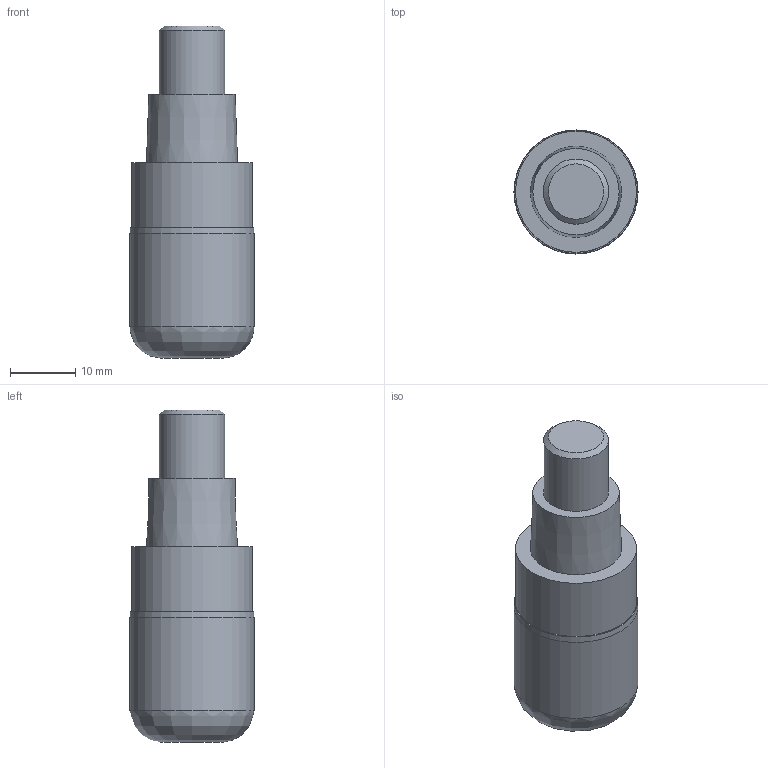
import cadquery as cq
import math

cap_height = 20.0
collar_height = 10.0
taper_height = 10.5
pin_height = 10.5

cap_radius = 19.05 / 2
cap_round = cap_radius / 2
rim_height = 0.95
rim_inset = 0.05

collar_radius = 9.3
taper_base_radius = 7.0
taper_angle = 2.0
pin_radius = 5.0
pin_chamfer_width = 0.75
pin_chamfer_height = 0.65


def make_cap():
    """Round knob with a filleted bottom edge and a conical rim at the top."""
    flat_radius = cap_radius - cap_round
    arc_mid_offset = cap_round * math.sin(math.radians(45))
    arc_mid = (flat_radius + arc_mid_offset, cap_round - arc_mid_offset)
    profile = (
        cq.Workplane("XZ")
        .moveTo(0, 0)
        .lineTo(flat_radius, 0)
        .threePointArc(arc_mid, (cap_radius, cap_round))
        .lineTo(cap_radius, cap_height - rim_height)
        .lineTo(cap_radius - rim_inset, cap_height)
        .lineTo(0, cap_height)
        .close()
    )
    return profile.revolve(360, (0, 0, 0), (0, 1, 0))


def make_spindle():
    """Collar, tapered shoulder and chamfered pin turned as one piece."""
    collar_top = cap_height + collar_height
    taper_top = collar_top + taper_height
    pin_top = taper_top + pin_height
    taper_top_radius = taper_base_radius - taper_height * math.tan(math.radians(taper_angle))
    profile = (
        cq.Workplane("XZ")
        .moveTo(0, cap_height)
        .lineTo(collar_radius, cap_height)
        .lineTo(collar_radius, collar_top)
        .lineTo(taper_base_radius, collar_top)
        .lineTo(taper_top_radius, taper_top)
        .lineTo(pin_radius, taper_top)
        .lineTo(pin_radius, pin_top - pin_chamfer_height)
        .lineTo(pin_radius - pin_chamfer_width, pin_top)
        .lineTo(0, pin_top)
        .close()
    )
    return profile.revolve(360, (0, 0, 0), (0, 1, 0))


cap = make_cap()
spindle = make_spindle()

result = cq.Compound.makeCompound([cap.val(), spindle.val()])